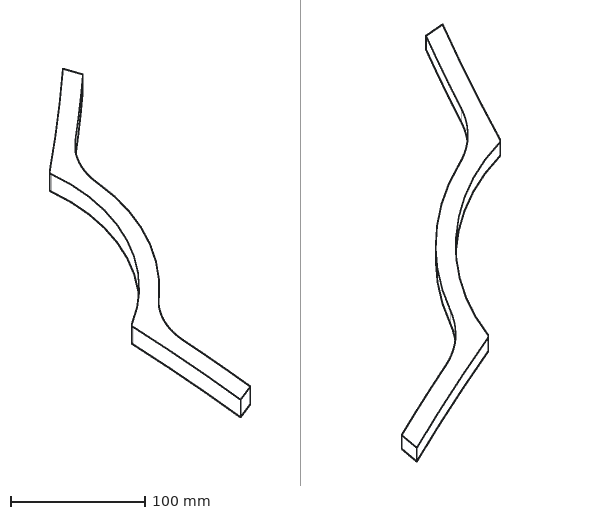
import cadquery as cq
import math

thickness = 18.0
tilt = 29.78

bow_inner_radius = 150.0
strip_width = 15.0
bow_outer_radius = bow_inner_radius + strip_width

arm_inner_radius = 1700.0
arm_width = 15.3
arm_outer_radius = arm_inner_radius + arm_width
arm_tip_x = 193.12
arm_tip_y = 169.6
arm_tip_slope = 23.15
end_cut_direction = 132.92

valley_radius = 60.0
corner_radius = 3.0


def circle_crossing(bow_radius, arm_centre, arm_radius):
    """Upper crossing of a bow circle about the origin with an arm circle."""
    centre_x, centre_y = arm_centre
    centre_distance = math.hypot(centre_x, centre_y)
    along = (bow_radius**2 - arm_radius**2 + centre_distance**2) / (2 * centre_distance)
    across = math.sqrt(bow_radius**2 - along**2)
    unit_x = centre_x / centre_distance
    unit_y = centre_y / centre_distance
    return (along * unit_x - across * unit_y, along * unit_y + across * unit_x)


def ray_to_circle(start, direction, centre, radius):
    """Point where a ray starting inside a circle leaves it."""
    step_x = math.cos(math.radians(direction))
    step_y = math.sin(math.radians(direction))
    offset_x = start[0] - centre[0]
    offset_y = start[1] - centre[1]
    half_b = offset_x * step_x + offset_y * step_y
    c = offset_x**2 + offset_y**2 - radius**2
    length = -half_b + math.sqrt(half_b**2 - c)
    return (start[0] + length * step_x, start[1] + length * step_y)


def arc_middle(start, end, centre, radius):
    """Middle point of the short arc between two points on a circle."""
    chord_x = (start[0] + end[0]) / 2 - centre[0]
    chord_y = (start[1] + end[1]) / 2 - centre[1]
    scale = radius / math.hypot(chord_x, chord_y)
    return (centre[0] + chord_x * scale, centre[1] + chord_y * scale)


def mirrored(point):
    return (-point[0], point[1])


bow_centre = (0.0, 0.0)
arm_centre = (
    arm_tip_x + arm_inner_radius * math.sin(math.radians(arm_tip_slope)),
    arm_tip_y - arm_inner_radius * math.cos(math.radians(arm_tip_slope)),
)
inner_apex = (0.0, bow_inner_radius)
outer_apex = (0.0, bow_outer_radius)
inner_corner = circle_crossing(bow_inner_radius, arm_centre, arm_inner_radius)
outer_valley = circle_crossing(bow_outer_radius, arm_centre, arm_outer_radius)
tip_inner = (arm_tip_x, arm_tip_y)
tip_outer = ray_to_circle(tip_inner, end_cut_direction, arm_centre, arm_outer_radius)

inner_bow_middle = arc_middle(inner_apex, inner_corner, bow_centre, bow_inner_radius)
inner_arm_middle = arc_middle(inner_corner, tip_inner, arm_centre, arm_inner_radius)
outer_arm_middle = arc_middle(tip_outer, outer_valley, arm_centre, arm_outer_radius)
outer_bow_middle = arc_middle(outer_valley, outer_apex, bow_centre, bow_outer_radius)


def sharp_strip():
    """Strip with unrounded corners: out along the right half, back along the left half."""
    return (
        cq.Workplane("XY")
        .moveTo(*inner_apex)
        .threePointArc(inner_bow_middle, inner_corner)
        .threePointArc(inner_arm_middle, tip_inner)
        .lineTo(*tip_outer)
        .threePointArc(outer_arm_middle, outer_valley)
        .threePointArc(outer_bow_middle, outer_apex)
        .threePointArc(mirrored(outer_bow_middle), mirrored(outer_valley))
        .threePointArc(mirrored(outer_arm_middle), mirrored(tip_outer))
        .lineTo(*mirrored(tip_inner))
        .threePointArc(mirrored(inner_arm_middle), mirrored(inner_corner))
        .threePointArc(mirrored(inner_bow_middle), inner_apex)
        .close()
        .extrude(thickness)
    )


def round_edge_pair(body, point, radius):
    """Round the upright edge at a point and its mirror image."""
    mid_height = thickness / 2
    for x, y in (point, mirrored(point)):
        nearest = cq.selectors.NearestToPointSelector((x, y, mid_height))
        body = body.edges("|Z").edges(nearest).fillet(radius)
    return body


strip = sharp_strip()
strip = round_edge_pair(strip, outer_valley, valley_radius)
strip = round_edge_pair(strip, inner_corner, corner_radius)

result = strip.rotate((0, 0, 0), (0, 0, 1), -tilt)